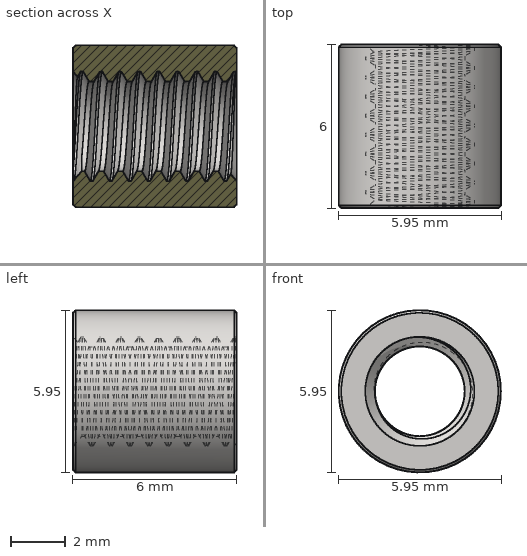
import cadquery as cq
import math

outer_diameter = 5.95
length = 6.0
rim_chamfer = 0.1

major_diameter = 4.0
minor_diameter = 3.28
pitch = 0.7
flank_angle = 30.0
root_width = pitch / 8
start_angle = 90.0
overrun = 1.4 * pitch
foot_overlap = 0.04

mouth_diameter = 4.0
mouth_depth = 0.32
tool_margin = 0.1

major_radius = major_diameter / 2
minor_radius = minor_diameter / 2
mouth_radius = mouth_diameter / 2


def make_bar():
    """Solid bar from Y = 0 to Y = length with both rims chamfered."""
    bar = cq.Workplane("XZ").circle(outer_diameter / 2).extrude(-length)
    return bar.faces("<Y or >Y").chamfer(rim_chamfer)


def make_thread_groove():
    """Right-hand helical groove, swept along Z and then laid along Y."""
    foot_radius = minor_radius - foot_overlap
    half_root = root_width / 2
    half_foot = half_root + (major_radius - foot_radius) * math.tan(math.radians(flank_angle))
    profile = [
        (foot_radius, -half_foot),
        (major_radius, -half_root),
        (major_radius, half_root),
        (foot_radius, half_foot),
    ]
    helix = cq.Wire.makeHelix(pitch, length + 2 * overrun, minor_radius)
    groove = cq.Workplane("XZ").polyline(profile).close().sweep(cq.Workplane(helix), isFrenet=True)
    groove = groove.rotate((0, 0, 0), (0, 0, 1), start_angle).translate((0, 0, -overrun))
    return groove.rotate((0, 0, 0), (1, 0, 0), -90)


def make_bore():
    """Plain through bore at the thread crests."""
    return cq.Workplane("XZ").circle(minor_radius).extrude(-length)


def make_countersink():
    """Conical cutter for the mouth at Y = 0."""
    taper = (mouth_radius - minor_radius) / mouth_depth
    front = -tool_margin
    back = mouth_depth + tool_margin
    section = [
        (0, front),
        (mouth_radius - front * taper, front),
        (mouth_radius - back * taper, back),
        (0, back),
    ]
    return cq.Workplane("XY").polyline(section).close().revolve(360, (0, 0, 0), (0, 1, 0))


front_countersink = make_countersink()
back_countersink = front_countersink.mirror("XZ").translate((0, length, 0))
result = make_bar().cut(make_thread_groove()).cut(make_bore())
result = result.cut(front_countersink).cut(back_countersink)